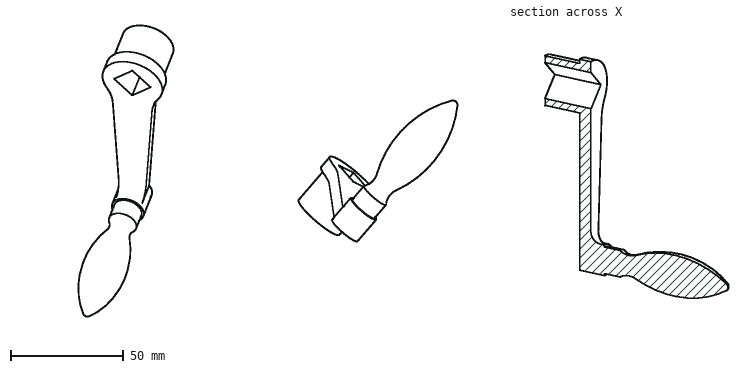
import cadquery as cq
import math

head_diameter = 27.9
arm_thickness = 6.0
hub_diameter = 24.0
hub_length = 18.0
square_side = 12.0
crank_length = 79.8
taper_angle = 3.0
half_width_at_boss = 5.8
neck_blend_radius = 20.0

boss_diameter = 15.0
boss_projection = 7.0
boss_fillet_radius = 4.8

collar_diameter = 13.0
groove_diameter = 10.0
groove_radius = 8.0
groove_position = 12.7
belly_diameter = 20.0
belly_position = 36.0
tip_edge_position = 63.2
handle_length = 64.1

head_radius = head_diameter / 2
boss_radius = boss_diameter / 2


def front_plane(y):
    """XZ plane at the given Y; local y is Z and extrusion goes toward -Y."""
    return cq.Workplane("XZ", origin=(0, y, 0))


def cylinder(diameter, y_back, y_front, z):
    return front_plane(y_back).center(0, z).circle(diameter / 2).extrude(y_back - y_front)


def make_arm():
    """Round head blended into a tapered arm that ends on the boss axis."""
    taper = math.radians(taper_angle)
    normal_x, normal_z = math.cos(taper), -math.sin(taper)
    side_offset = (half_width_at_boss + crank_length * math.tan(taper)) * math.cos(taper)
    center_offset = side_offset + neck_blend_radius
    center_distance = head_radius + neck_blend_radius
    center_along = math.sqrt(center_distance**2 - center_offset**2)
    center_x = normal_x * center_offset - math.sin(taper) * center_along
    center_z = normal_z * center_offset - math.cos(taper) * center_along

    head_x = center_x * head_radius / center_distance
    head_z = center_z * head_radius / center_distance
    side_x = center_x - normal_x * neck_blend_radius
    side_z = center_z - normal_z * neck_blend_radius
    chord_x = (head_x + side_x) / 2 - center_x
    chord_z = (head_z + side_z) / 2 - center_z
    stretch = neck_blend_radius / math.hypot(chord_x, chord_z)
    middle_x = center_x + chord_x * stretch
    middle_z = center_z + chord_z * stretch

    return (
        front_plane(arm_thickness)
        .moveTo(half_width_at_boss, -crank_length)
        .lineTo(side_x, side_z)
        .threePointArc((middle_x, middle_z), (head_x, head_z))
        .threePointArc((0, head_radius), (-head_x, head_z))
        .threePointArc((-middle_x, middle_z), (-side_x, side_z))
        .lineTo(-half_width_at_boss, -crank_length)
        .close()
        .extrude(arm_thickness)
    )


def make_boss_fillet(arm):
    """Concave flare around the boss, trimmed to the width of the arm."""
    flare_radius = boss_radius + boss_fillet_radius
    arc_inset = boss_fillet_radius * (1 - math.sqrt(0.5))
    flare = (
        cq.Workplane("XY")
        .lineTo(flare_radius, 0)
        .threePointArc((boss_radius + arc_inset, -arc_inset), (boss_radius, -boss_fillet_radius))
        .lineTo(0, -boss_fillet_radius)
        .close()
        .revolve(360, (0, 0, 0), (0, 1, 0))
        .translate((0, 0, -crank_length))
    )
    return flare.intersect(arm.translate((0, -arm_thickness, 0)))


def make_handle():
    """Collar, groove and bulging grip turned about the boss axis."""
    collar_radius = collar_diameter / 2
    belly_radius = belly_diameter / 2
    groove_center = groove_diameter / 2 + groove_radius
    collar_end = groove_position - math.sqrt(groove_radius**2 - (groove_center - collar_radius) ** 2)

    spacing = belly_position - groove_position
    rise = groove_center - belly_radius
    grip_radius = (spacing**2 + rise**2 - groove_radius**2) / (2 * (groove_radius - rise))
    grip_center = belly_radius - grip_radius
    share = groove_radius / (groove_radius + grip_radius)
    tangent_radius = groove_center + (grip_center - groove_center) * share
    tangent_position = groove_position + spacing * share
    tip_reach = tip_edge_position - belly_position
    tip_edge_radius = grip_center + math.sqrt(grip_radius**2 - tip_reach**2)

    cap_height = handle_length - tip_edge_position
    cap_radius = (tip_edge_radius**2 + cap_height**2) / (2 * cap_height)
    half_angle = math.asin(tip_edge_radius / cap_radius) / 2
    cap_middle_radius = cap_radius * math.sin(half_angle)
    cap_middle_position = handle_length - cap_radius * (1 - math.cos(half_angle))

    return (
        cq.Workplane("XY")
        .lineTo(collar_radius, 0)
        .lineTo(collar_radius, -collar_end)
        .threePointArc((groove_diameter / 2, -groove_position), (tangent_radius, -tangent_position))
        .threePointArc((belly_radius, -belly_position), (tip_edge_radius, -tip_edge_position))
        .threePointArc((cap_middle_radius, -cap_middle_position), (0, -handle_length))
        .close()
        .revolve(360, (0, 0, 0), (0, 1, 0))
        .translate((0, -boss_projection, -crank_length))
    )


arm = make_arm()
hub = cylinder(hub_diameter, arm_thickness + hub_length, arm_thickness, 0)
boss = cylinder(boss_diameter, arm_thickness, -boss_projection, -crank_length)
square_hole = (
    front_plane(arm_thickness + hub_length)
    .transformed(rotate=(0, 0, 45))
    .rect(square_side, square_side)
    .extrude(arm_thickness + hub_length)
)

result = (
    arm.union(hub)
    .union(boss)
    .union(make_boss_fillet(arm))
    .union(make_handle())
    .cut(square_hole)
)